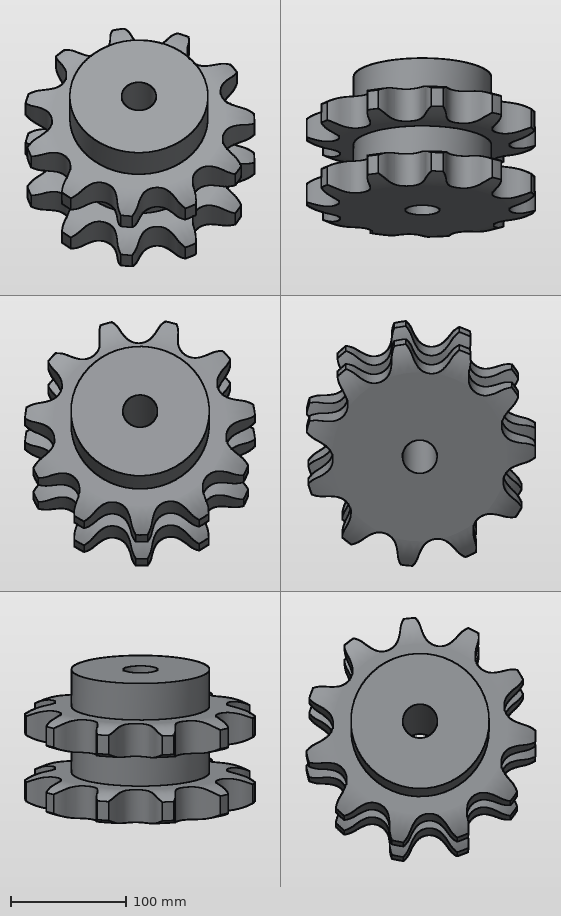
import cadquery as cq
import math

TEETH = 11
CHAIN_PITCH = 50.8
ROLLER_DIAMETER = 29.2
TIP_RADIUS = 100.4

TOTAL_HEIGHT = 120.0
PLATE_THICKNESS = 29.0
PLATE_SPACING = 58.5
HUB_DIAMETER = 120.0
BORE_DIAMETER = 30.0

BEVEL_START_RADIUS = 76.2
BEVEL_ARC_RADIUS = CHAIN_PITCH

HALF_TOOTH_ANGLE = math.pi / TEETH
PITCH_RADIUS = CHAIN_PITCH / (2 * math.sin(HALF_TOOTH_ANGLE))
SEAT_RADIUS = 0.505 * ROLLER_DIAMETER
FLANK_CENTER_OFFSET = 0.8 * ROLLER_DIAMETER
FLANK_RADIUS = SEAT_RADIUS + FLANK_CENTER_OFFSET
TOP_CENTER_OFFSET = 1.4 * ROLLER_DIAMETER
SEAT_END_ANGLE = math.radians(35 + 60 / TEETH)
FLANK_SWEEP = math.radians(18 - 56 / TEETH)


def polar(center, radius, angle):
    """Point at a distance and direction from a center."""
    return (center[0] + radius * math.cos(angle), center[1] + radius * math.sin(angle))


def rotated(point, angle):
    """Point turned about the sprocket axis."""
    return polar((0, 0), math.hypot(*point), math.atan2(point[1], point[0]) + angle)


def half_gap_points():
    """Points on the +X half of the gap centred on +Y, from the seat end up to the tooth tip."""
    roller_center = (0, PITCH_RADIUS)
    seat_end = polar(roller_center, SEAT_RADIUS, -SEAT_END_ANGLE)

    flank_center = polar(roller_center, -FLANK_CENTER_OFFSET, -SEAT_END_ANGLE)
    flank_end_angle = FLANK_SWEEP - SEAT_END_ANGLE
    flank_middle = polar(flank_center, FLANK_RADIUS, flank_end_angle - FLANK_SWEEP / 2)
    flank_end = polar(flank_center, FLANK_RADIUS, flank_end_angle)

    top_center = polar(roller_center, TOP_CENTER_OFFSET, -HALF_TOOTH_ANGLE)
    offset_x = top_center[0] - flank_end[0]
    offset_y = top_center[1] - flank_end[1]
    normal_x = math.cos(flank_end_angle)
    normal_y = math.sin(flank_end_angle)
    top_radius = offset_x * normal_x + offset_y * normal_y
    top_start = polar(top_center, -top_radius, flank_end_angle)

    center_distance = math.hypot(*top_center)
    cosine = (TIP_RADIUS**2 + center_distance**2 - top_radius**2) / (2 * TIP_RADIUS * center_distance)
    tip_angle = math.atan2(top_center[1], top_center[0]) + math.acos(cosine)
    tip = polar((0, 0), TIP_RADIUS, tip_angle)
    start_angle = flank_end_angle + math.pi
    end_angle = math.atan2(tip[1] - top_center[1], tip[0] - top_center[0])
    top_middle = polar(top_center, top_radius, (start_angle + end_angle) / 2)

    return [seat_end, flank_middle, flank_end, top_start, top_middle, tip]


def tooth_outline():
    """Closed outline of all teeth, drawn clockwise with one gap and one tooth tip per step."""
    right_half = half_gap_points()
    left_half = [(-x, y) for x, y in right_half]
    seat_floor = (0, PITCH_RADIUS - SEAT_RADIUS)
    tip_middle = polar((0, 0), TIP_RADIUS, math.pi / 2 - HALF_TOOTH_ANGLE)
    next_tip = rotated(left_half[-1], -2 * HALF_TOOTH_ANGLE)

    outline = cq.Workplane("XY").moveTo(*left_half[-1])
    for index in range(TEETH):
        turn = -2 * HALF_TOOTH_ANGLE * index

        left = [rotated(point, turn) for point in left_half]
        left_seat_end, flank_middle, flank_end, top_start, top_middle, _ = left
        outline = outline.threePointArc(top_middle, top_start).lineTo(*flank_end)
        outline = outline.threePointArc(flank_middle, left_seat_end)

        right = [rotated(point, turn) for point in right_half]
        right_seat_end, flank_middle, flank_end, top_start, top_middle, tip = right
        outline = outline.threePointArc(rotated(seat_floor, turn), right_seat_end)
        outline = outline.threePointArc(flank_middle, flank_end)
        outline = outline.lineTo(*top_start).threePointArc(top_middle, tip)
        outline = outline.threePointArc(rotated(tip_middle, turn), rotated(next_tip, turn))
    return outline.close()


def bevelled_blank():
    """Disc whose faces curve in toward the rim along arcs tangent to the flat faces."""
    bevel_width = TIP_RADIUS - BEVEL_START_RADIUS
    bevel_angle = math.asin(bevel_width / BEVEL_ARC_RADIUS)
    bevel_depth = BEVEL_ARC_RADIUS * (1 - math.cos(bevel_angle))
    middle_radius = BEVEL_START_RADIUS + BEVEL_ARC_RADIUS * math.sin(bevel_angle / 2)
    middle_depth = BEVEL_ARC_RADIUS * (1 - math.cos(bevel_angle / 2))
    top = PLATE_THICKNESS
    return (
        cq.Workplane("XZ")
        .lineTo(BEVEL_START_RADIUS, 0)
        .threePointArc((middle_radius, middle_depth), (TIP_RADIUS, bevel_depth))
        .lineTo(TIP_RADIUS, top - bevel_depth)
        .threePointArc((middle_radius, top - middle_depth), (BEVEL_START_RADIUS, top))
        .lineTo(0, top)
        .close()
        .revolve(360, (0, 0), (0, 1))
    )


def toothed_plate():
    return tooth_outline().extrude(PLATE_THICKNESS).intersect(bevelled_blank())


hub = cq.Workplane("XY").circle(HUB_DIAMETER / 2).extrude(TOTAL_HEIGHT)
bore = cq.Workplane("XY").circle(BORE_DIAMETER / 2).extrude(TOTAL_HEIGHT)
plate = toothed_plate()

result = hub.union(plate).union(plate.translate((0, 0, PLATE_SPACING))).cut(bore)